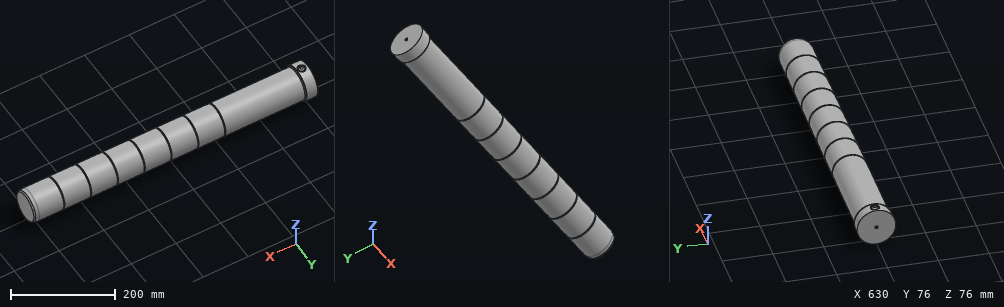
import cadquery as cq

length = 630.0
head_diameter = 76.0
body_diameter = 70.0
head_length = 25.0
head_chamfer = 0.95
weld_leg = 2.0

taper_start = 619.0
taper_diameter = 67.0
chamfer_start = 627.0
tip_diameter = 63.0

groove_count = 7
first_groove = 205.0
groove_pitch = 60.0
groove_width = 2.5
groove_depth = 0.5

pocket_x = 13.0
pocket_diameter = 17.0
pocket_depth = 2.5
nipple_base_diameter = 12.5
nipple_top_diameter = 5.5

pilot_diameter = 2.5
pilot_depth = 5.0
countersink_diameter = 6.0
countersink_depth = (countersink_diameter - pilot_diameter) / 2


def revolve_about_x(points):
    """Turn a closed (x, radius) outline about the X axis."""
    return cq.Workplane("XZ").polyline(points).close().revolve(360, (0, 0), (1, 0))


def pin_blank():
    """Head, body and lead-in as one turned shape."""
    head_radius = head_diameter / 2
    body_radius = body_diameter / 2
    return revolve_about_x([
        (0, 0),
        (0, head_radius),
        (head_length - head_chamfer, head_radius),
        (head_length, head_radius - head_chamfer),
        (head_length, body_radius + weld_leg),
        (head_length + weld_leg, body_radius),
        (taper_start, body_radius),
        (chamfer_start, taper_diameter / 2),
        (length, tip_diameter / 2),
        (length, 0),
    ])


def ring_groove(x):
    """V-shaped ring centred at x; it rises past the body surface, twice as wide at its top."""
    body_radius = body_diameter / 2
    return revolve_about_x([
        (x - groove_width, body_radius + groove_depth),
        (x, body_radius - groove_depth),
        (x + groove_width, body_radius + groove_depth),
    ])


def centre_drilling():
    """Countersunk pilot hole on the axis, entering from the head face."""
    return revolve_about_x([
        (0, 0),
        (0, countersink_diameter / 2),
        (countersink_depth, pilot_diameter / 2),
        (pilot_depth, pilot_diameter / 2),
        (pilot_depth, 0),
    ])


def nipple_pocket():
    """Ring-shaped cut: a round pocket that leaves the tapered nipple standing flush with the head."""
    pocket_floor = cq.Workplane("XY", origin=(pocket_x, 0, head_diameter / 2 - pocket_depth))
    pocket = pocket_floor.circle(pocket_diameter / 2).extrude(pocket_depth)
    nipple = (
        pocket_floor.circle(nipple_base_diameter / 2)
        .workplane(offset=pocket_depth)
        .circle(nipple_top_diameter / 2)
        .loft()
    )
    return pocket.cut(nipple)


result = pin_blank()
for index in range(groove_count):
    result = result.cut(ring_groove(first_groove + index * groove_pitch))
result = result.cut(centre_drilling())
result = result.cut(nipple_pocket())